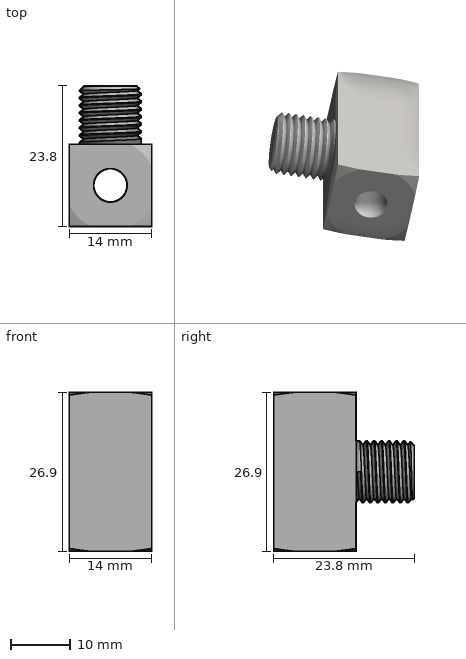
import cadquery as cq
import math

body_height = 26.92
body_width = 13.97
bore_diameter = 5.6

flat_face_radius = 7.67
corner_angle = 13.0

overall_depth = 23.8
stud_length = overall_depth - body_width
stud_radius = 5.25
tip_chamfer = 0.8

thread_pitch = 1.27
thread_depth = 0.73
crest_flat = 0.13
groove_start = 0.2
cutter_overhang = 0.05
cutting_margin = 0.27


def make_body():
    """Square bar whose end corners are trimmed by shallow cones."""
    bar = cq.Workplane("XY").box(body_width, body_width, body_height)
    corner_radius = body_width / math.sqrt(2)
    envelope_radius = corner_radius + cutting_margin
    cone_drop = (envelope_radius - flat_face_radius) * math.tan(math.radians(corner_angle))
    half_height = body_height / 2
    envelope = (
        cq.Workplane("XZ")
        .moveTo(0, -half_height)
        .lineTo(flat_face_radius, -half_height)
        .lineTo(envelope_radius, -half_height + cone_drop)
        .lineTo(envelope_radius, half_height - cone_drop)
        .lineTo(flat_face_radius, half_height)
        .lineTo(0, half_height)
        .close()
        .revolve(360, (0, 0), (0, 1))
    )
    return bar.intersect(envelope)


def make_thread_groove():
    """Helical V cutter around Z, starting on the +X side and running out past the tip."""
    root_radius = stud_radius - thread_depth
    cutter_radius = stud_radius + cutter_overhang
    half_groove = (thread_pitch - crest_flat) / 2
    half_cutter = half_groove * (thread_depth + cutter_overhang) / thread_depth
    turns = math.ceil((stud_length + thread_pitch) / thread_pitch)
    length = turns * thread_pitch

    def helix(radius, height):
        return cq.Wire.makeHelix(thread_pitch, length, radius, center=cq.Vector(0, 0, height))

    root = helix(root_radius, groove_start)
    upper = helix(cutter_radius, groove_start + half_cutter)
    lower = helix(cutter_radius, groove_start - half_cutter)
    edges = ((root, upper), (upper, lower), (lower, root))
    sides = [cq.Face.makeRuledSurface(first, second) for first, second in edges]

    def end_cap(height):
        corners = [
            (root_radius, 0, height),
            (cutter_radius, 0, height + half_cutter),
            (cutter_radius, 0, height - half_cutter),
        ]
        return cq.Face.makeFromWires(cq.Wire.makePolygon(corners, close=True))

    caps = [end_cap(groove_start), end_cap(groove_start + length)]
    faces = [face for side in sides for face in side.Faces()] + caps
    return cq.Workplane(cq.Solid.makeSolid(cq.Shell.makeShell(faces)))


def make_tip_cutter():
    """Ring that cuts the 45 degree chamfer at the free end of the stud."""
    inner_radius = stud_radius - tip_chamfer
    reach = tip_chamfer + cutting_margin
    return (
        cq.Workplane("XZ")
        .moveTo(inner_radius - cutting_margin, stud_length + cutting_margin)
        .lineTo(inner_radius + reach, stud_length - reach)
        .lineTo(inner_radius + reach, stud_length + cutting_margin)
        .close()
        .revolve(360, (0, 0), (0, 1))
        .rotate((0, 0, 0), (0, 0, 1), 90)
    )


def make_stud():
    """Threaded stud pointing along +Y from the body face."""
    blank = cq.Workplane("XY").circle(stud_radius).extrude(stud_length)
    threaded = blank.rotate((0, 0, 0), (0, 0, 1), 90).cut(make_thread_groove())
    stud = threaded.cut(make_tip_cutter())
    return stud.rotate((0, 0, 0), (1, 0, 0), -90).translate((0, body_width / 2, 0))


bore = cq.Workplane("XY").circle(bore_diameter / 2).extrude(body_height / 2, both=True)

result = make_body().cut(bore).union(make_stud())